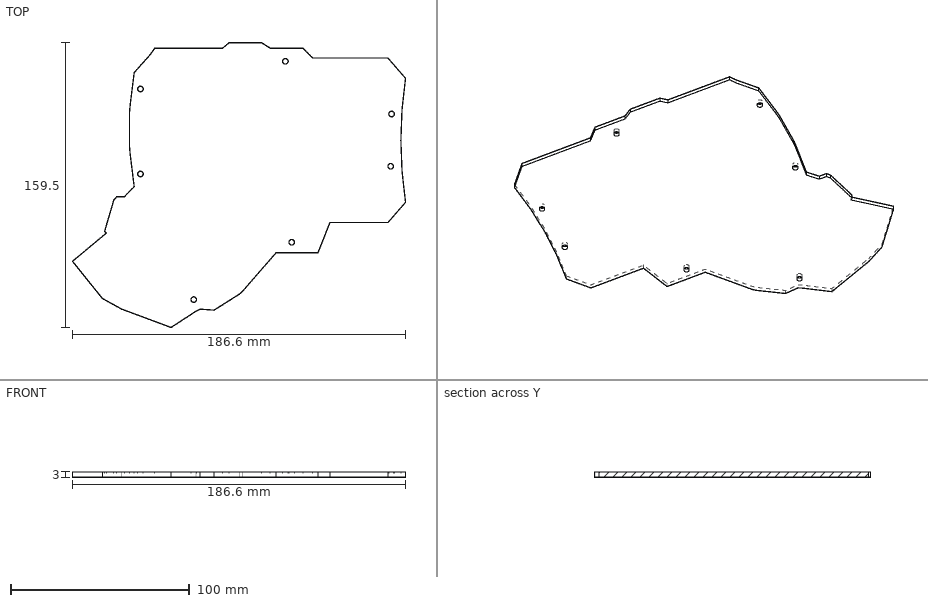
import cadquery as cq

length = 186.6
width = 159.5
thickness = 3.0
hole_diameter = 3.0

shoulder_y = 156.5
right_top_y = 151.0
right_bottom_y = 58.8
lower_step_y = 41.8

right_edge_middle_y = 104.9
right_edge_half_height = 34.7
right_edge_sag = 2.6
right_corner_x = 176.7

left_edge_middle_y = 110.8
left_end_x = 34.5
left_facet_x = 32.3
left_middle_x = 32.0
left_end_offset = 32.0
left_facet_offset = 13.8
left_middle_offset = 9.5

top_edge = [
    (43.7, 153.0),
    (46.0, shoulder_y),
    (84.2, shoulder_y),
    (87.7, width),
    (106.0, width),
    (110.7, shoulder_y),
    (129.1, shoulder_y),
    (134.5, right_top_y),
    (right_corner_x, right_top_y),
]

bottom_edge = [
    (right_corner_x, right_bottom_y),
    (144.2, right_bottom_y),
    (137.5, lower_step_y),
    (114.0, lower_step_y),
    (95.2, 20.2),
    (93.5, 18.7),
    (79.3, 9.7),
    (71.5, 10.3),
    (69.2, 9.1),
    (55.2, 0),
    (27.6, 10.3),
    (16.8, 16.2),
]

wing_edge = [
    (0, 37.1),
    (19.0, 53.0),
    (18.0, 53.7),
    (23.1, 71.5),
    (24.8, 73.3),
    (29.1, 73.3),
]

hole_centers = [
    (38.0, 133.6),
    (38.0, 86.0),
    (119.2, 149.1),
    (178.8, 119.6),
    (178.2, 90.3),
    (122.8, 47.8),
    (68.0, 15.7),
]


def left_edge():
    """Corners of the faceted left edge, from bottom to top."""
    upper_half = [
        (left_middle_x, left_middle_offset),
        (left_facet_x, left_facet_offset),
        (left_end_x, left_end_offset),
    ]
    lower = [(x, left_edge_middle_y - offset) for x, offset in reversed(upper_half)]
    upper = [(x, left_edge_middle_y + offset) for x, offset in upper_half]
    return lower + upper


def plate():
    """Flat plate with the full outline."""
    outline = cq.Workplane("XY").polyline(left_edge() + top_edge)
    outline = outline.lineTo(length, right_edge_middle_y + right_edge_half_height)
    outline = outline.threePointArc(
        (length - right_edge_sag, right_edge_middle_y),
        (length, right_edge_middle_y - right_edge_half_height),
    )
    for x, y in bottom_edge + wing_edge:
        outline = outline.lineTo(x, y)
    return outline.close().extrude(thickness)


def mounting_holes():
    """Cylinders that cut the through holes."""
    return cq.Workplane("XY").pushPoints(hole_centers).circle(hole_diameter / 2).extrude(thickness)


result = plate().cut(mounting_holes())